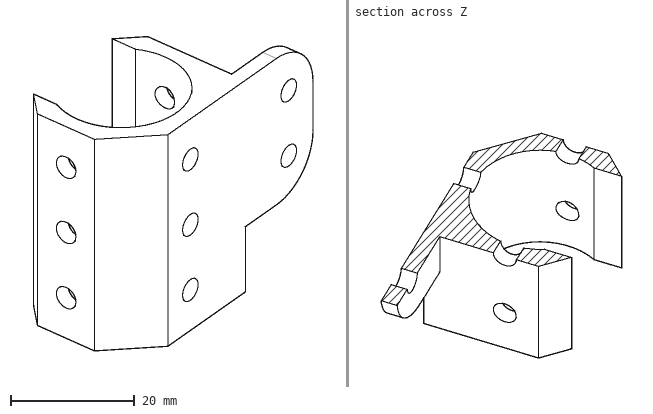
import cadquery as cq
import math

height = 41.25
half_width = 14.25
bore_radius = 11.4
opening_x = -10.05
lip_half_gap = 10.17
corner_chamfer = 8.43

flange_end_y = 31.75
flange_height = 28.55
flange_thickness = half_width - bore_radius
flange_corner_radius = 9.5

hole_diameter = 4.0
hole_pitch = 12.7
flange_hole_inset = 6.3

lip_chamfer = half_width - lip_half_gap
hole_levels = [height / 2 + step * hole_pitch for step in (-1, 0, 1)]


def make_clip():
    """Chamfered block with a bore that opens toward -X."""
    body = (
        cq.Workplane("XY")
        .moveTo(opening_x, lip_half_gap)
        .lineTo(opening_x + lip_chamfer, half_width)
        .lineTo(half_width, half_width)
        .lineTo(half_width, corner_chamfer - half_width)
        .lineTo(half_width - corner_chamfer, -half_width)
        .lineTo(opening_x + lip_chamfer, -half_width)
        .lineTo(opening_x, -lip_half_gap)
        .close()
        .extrude(height)
    )
    bore = cq.Workplane("XY").circle(bore_radius).extrude(height)
    flat_end_x = -math.sqrt(bore_radius**2 - lip_half_gap**2)
    mouth = cq.Workplane("XY").box(
        flat_end_x - opening_x, 2 * lip_half_gap, height, centered=(False, True, False)
    ).translate((opening_x, 0, 0))
    return body.cut(bore).cut(mouth)


def make_flange():
    """Plate rooted in the +Y wall at the +X side, with both outer corners rounded."""
    return (
        cq.Workplane("XY")
        .box(flange_thickness, flange_end_y - lip_half_gap, flange_height, centered=False)
        .edges("|X and >Y")
        .fillet(flange_corner_radius)
        .translate((bore_radius, lip_half_gap, height - flange_height))
    )


def hole_along_x(y, z):
    """Screw hole through the +X wall."""
    return cq.Workplane("YZ").center(y, z).circle(hole_diameter / 2).extrude(half_width)


def hole_along_y(z):
    """Screw hole through both side walls."""
    return cq.Workplane("XZ").center(0, z).circle(hole_diameter / 2).extrude(half_width, both=True)


result = make_clip().union(make_flange())

for level in hole_levels:
    result = result.cut(hole_along_x(0, level)).cut(hole_along_y(level))

for level in hole_levels[1:]:
    result = result.cut(hole_along_x(flange_end_y - flange_hole_inset, level))